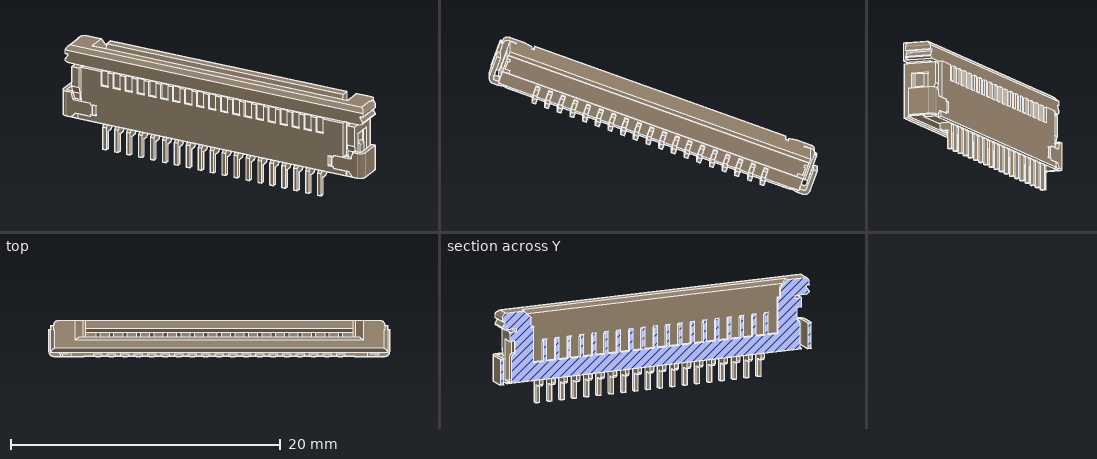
import cadquery as cq


length = 25.3
depth = 2.7
height = 7.6
front = -depth / 2
back = depth / 2

contact_count = 19
contact_row_length = 18.01
contact_pitch = contact_row_length / (contact_count - 1)
contact_width = 0.3
contact_places = [i * contact_pitch - contact_row_length / 2 for i in range(contact_count)]

housing_bottom = 1.97
shoulder_top = 6.07
housing_half = 11.87
shoulder_front = -1.16
core_half = 11.35
core_front = -0.53
wall_half = 10.98
wall_back = -0.7
clip_stand_off = 0.03
wall_front = front + clip_stand_off
wall_bevel_height = 0.1
wall_bevel_depth = 0.15
groove_width = 0.25
groove_back = -0.75
foot_back = 1.04
foot_front = -0.25
foot_height = 0.15
undercut_bottom = 3.97
undercut_top = 4.5
undercut_depth = 0.18

pocket_width = 0.6
pocket_depth = 0.18
pocket_bottom = 5.1

window_front = -0.58
window_back = 0.75
window_bottom = 2.18
window_top = 5.35
window_depth = 0.25
window_ramp_front = -0.03
window_ramp_back = 0.58
window_ramp_depth = 0.25
latch_top = 4.38
latch_radius = 0.25
latch_inset = 0.13
latch_reach = 0.5

cover_bottom = 6.27
cover_front = -1.04
cover_half = 12.5
cover_back_half = 12.3
cover_corner_radius = 0.38
flange_back = 0.95
cover_bevel = 0.33
cover_top_half = 12.22
cover_crown_half = 12.4
cover_crown_height = 7.46
rib_notch_half = 12.27
rib_upper_bottom = 6.95
rib_notch_top = 6.83
rib_lower_top = 6.5
rib_lower_bottom = 6.43

mouth_half_top = 10.7
mouth_half = 10.12
mouth_side_drop = 0.58
mouth_front_top = -0.1
mouth_front = 0.1
mouth_front_drop = 0.3
slot_bottom = 3.55
tongue_half = 9.92
tongue_front_top = 0.73
tongue_front = 0.45
tongue_bevel_drop = 0.89
contact_tip_front = 5.05
contact_tip_back = 5.45

clip_bottom = 2.07
clip_top = 4.07
clip_back = 0.65
clip_thickness = 0.3
clip_bend_radius = 0.43
clip_neck_half = 11.8
arm_inner = 10.2
arm_bottom = 2.45
arm_top = 3.52
arm_root_bottom = 11.45
arm_root_top = 11.65
tip_hole_inner = 9.72
tip_hole_outer = 10.05
tip_hole_bottom = 2.58
tip_hole_top = 3.4
tip_hole_depth = 0.3

tail_front = front
tail_thickness = 0.33
tail_back = -0.4
tail_shelf = 1.4
tail_bevel = 0.18


def block(x, y, z):
    """Box between the given (low, high) pairs."""
    size = (x[1] - x[0], y[1] - y[0], z[1] - z[0])
    return cq.Workplane("XY").box(*size, centered=False).translate((x[0], y[0], z[0]))


def wide_block(half, y, z):
    return block((-half, half), y, z)


def prism_along_x(points, x_low, x_high):
    """Extrude a (y, z) outline from x_low to x_high."""
    return cq.Workplane("YZ", origin=(x_low, 0, 0)).polyline(points).close().extrude(x_high - x_low)


def prism_along_y(points, y_low, y_high):
    """Extrude an (x, z) outline from y_low to y_high."""
    return cq.Workplane("XZ", origin=(0, y_high, 0)).polyline(points).close().extrude(y_high - y_low)


def both_ends(shape):
    """The shape together with its mirror image at the other end."""
    return shape.union(shape.mirror("YZ"))


def mirrored_outline(points):
    """Close a right-hand half outline with its left-hand mirror image."""
    return points + [(-x, z) for x, z in reversed(points)]


def make_front_wall(half, top):
    """Front wall with a bevelled lower edge."""
    outline = [
        (wall_back, top),
        (wall_front, top),
        (wall_front, housing_bottom + wall_bevel_height),
        (wall_front + wall_bevel_depth, housing_bottom),
        (wall_back, housing_bottom),
    ]
    return prism_along_x(outline, -half, half)


def make_housing():
    body = wide_block(housing_half, (shoulder_front, back), (housing_bottom, shoulder_top))
    core = wide_block(core_half, (core_front, back), (shoulder_top, cover_bottom))
    wall = make_front_wall(wall_half, cover_bottom)
    wall_foot = make_front_wall(wall_half + groove_width, arm_bottom)
    groove = block(
        (-wall_half - groove_width, -wall_half), (shoulder_front, groove_back), (arm_top, shoulder_top)
    )
    undercut_outline = [
        (shoulder_front, undercut_top),
        (shoulder_front + undercut_depth, undercut_bottom),
        (shoulder_front + undercut_depth, arm_bottom),
        (shoulder_front, arm_bottom),
    ]
    undercut = prism_along_x(undercut_outline, -housing_half, -wall_half)
    foot_gap = wide_block(
        housing_half, (foot_front, foot_back), (housing_bottom, housing_bottom + foot_height)
    )
    housing = body.cut(both_ends(groove)).cut(both_ends(undercut))
    housing = housing.union(core).union(wall).union(wall_foot)
    return housing.cut(foot_gap).cut(both_ends(make_side_window())).union(both_ends(make_latch()))


def make_side_window():
    floor = -housing_half + window_depth
    outline = [
        (-housing_half, window_front),
        (floor + window_ramp_depth, window_front),
        (floor + window_ramp_depth, window_ramp_front),
        (floor, window_ramp_back),
        (floor, window_back),
        (-housing_half, window_back),
    ]
    window = cq.Workplane("XY", origin=(0, 0, window_bottom)).polyline(outline).close()
    return window.extrude(window_top - window_bottom)


def make_latch():
    """Round-topped catch inside the left side window."""
    catch = block(
        (-housing_half + latch_inset, -housing_half + latch_inset + latch_reach),
        (window_ramp_front, window_ramp_back),
        (window_bottom, latch_top),
    )
    return catch.edges("<X and >Z").fillet(latch_radius)


def make_front_pockets():
    pockets = cq.Workplane("XY")
    for x in contact_places:
        pockets = pockets.union(
            block(
                (x - pocket_width / 2, x + pocket_width / 2),
                (wall_front, wall_front + pocket_depth),
                (pocket_bottom, cover_bottom),
            )
        )
    return pockets


def make_cover():
    side_outline = mirrored_outline([
        (rib_notch_half, cover_bottom),
        (cover_half, rib_lower_bottom),
        (cover_half, rib_lower_top),
        (rib_notch_half, rib_notch_top),
        (rib_notch_half, rib_upper_bottom),
        (cover_half, rib_upper_bottom),
        (cover_half, height - cover_bevel),
    ])
    ribbed = prism_along_y(side_outline, cover_front, flange_back)
    crown = cq.Workplane("XZ", origin=(0, flange_back, 0)).moveTo(-cover_half, height - cover_bevel)
    crown = crown.threePointArc((-cover_crown_half, cover_crown_height), (-cover_top_half, height))
    crown = crown.lineTo(cover_top_half, height)
    crown = crown.threePointArc((cover_crown_half, cover_crown_height), (cover_half, height - cover_bevel))
    crown = crown.close().extrude(flange_back - cover_front)
    bevel_outline = [
        (cover_front, height - cover_bevel),
        (cover_front, height),
        (cover_front + cover_bevel, height),
    ]
    crown = crown.cut(prism_along_x(bevel_outline, -cover_half, cover_half))
    rear = wide_block(cover_back_half, (flange_back - cover_bevel, back), (cover_bottom, height))
    rear = rear.edges("|Z and >Y").fillet(cover_corner_radius)
    return ribbed.union(crown).union(rear).cut(make_mouth())


def make_mouth():
    """Cable mouth, open to the back, flared at its ends and along its front."""
    across = prism_along_y(
        mirrored_outline([
            (mouth_half, cover_bottom),
            (mouth_half, height - mouth_side_drop),
            (mouth_half_top, height),
        ]),
        mouth_front_top,
        back,
    )
    along = prism_along_x(
        [
            (back, cover_bottom),
            (mouth_front, cover_bottom),
            (mouth_front, height - mouth_front_drop),
            (mouth_front_top, height),
            (back, height),
        ],
        -mouth_half_top,
        mouth_half_top,
    )
    return across.intersect(along)


def make_tongue():
    outline = [
        (back, cover_bottom),
        (back, height),
        (tongue_front_top, height),
        (tongue_front, height - tongue_bevel_drop),
        (tongue_front, cover_bottom),
    ]
    return prism_along_x(outline, -tongue_half, tongue_half)


def make_contacts():
    """Sloped contact tips that stand in the cable slot."""
    outline = [
        (mouth_front, slot_bottom),
        (mouth_front, contact_tip_front),
        (tongue_front, contact_tip_back),
        (tongue_front, slot_bottom),
    ]
    contacts = cq.Workplane("XY")
    for x in contact_places:
        contacts = contacts.union(prism_along_x(outline, x - contact_width / 2, x + contact_width / 2))
    return contacts


def make_tails():
    outline = [
        (tail_front, 0),
        (tail_front, housing_bottom - tail_bevel),
        (tail_front + tail_bevel, housing_bottom),
        (tail_back, housing_bottom),
        (tail_back, tail_shelf + tail_bevel),
        (tail_back - tail_bevel, tail_shelf),
        (tail_front + tail_thickness, tail_shelf),
        (tail_front + tail_thickness, 0),
    ]
    tails = cq.Workplane("XY")
    for x in contact_places:
        tails = tails.union(prism_along_x(outline, x - contact_width / 2, x + contact_width / 2))
    return tails


def make_clip():
    """Left clip: a bent strip whose arm, with a narrow tip, lies on the housing front."""
    outer = -length / 2
    strip = block((outer, -tip_hole_outer), (front, clip_back), (clip_bottom, clip_top))
    strip = strip.edges("|Z and <X and <Y").fillet(clip_bend_radius)
    inside = block(
        (outer + clip_thickness, -tip_hole_outer),
        (front + clip_thickness, clip_back),
        (clip_bottom, clip_top),
    )
    inside = inside.edges("|Z and <X and <Y").fillet(clip_bend_radius - clip_thickness)
    arm_outline = [
        (outer, clip_bottom),
        (-clip_neck_half, clip_bottom),
        (-arm_root_bottom, arm_bottom),
        (-arm_inner, arm_bottom),
        (-arm_inner, tip_hole_bottom),
        (-tip_hole_outer, tip_hole_bottom),
        (-tip_hole_outer, tip_hole_top),
        (-arm_inner, tip_hole_top),
        (-arm_inner, arm_top),
        (-arm_root_top, arm_top),
        (-clip_neck_half, undercut_bottom),
        (-clip_neck_half, clip_top),
        (outer, clip_top),
    ]
    return strip.cut(inside).intersect(prism_along_y(arm_outline, front, clip_back))


def make_tip_hole():
    """Wedge-shaped hole beside the tip of the left clip arm, deepest at its inner end."""
    outline = [
        (-tip_hole_outer, wall_front),
        (-tip_hole_inner, wall_front),
        (-tip_hole_inner, wall_front + tip_hole_depth),
    ]
    hole = cq.Workplane("XY", origin=(0, 0, tip_hole_bottom)).polyline(outline).close()
    return hole.extrude(tip_hole_top - tip_hole_bottom)


cable_slot = wide_block(tongue_half, (mouth_front, tongue_front), (slot_bottom, cover_bottom))

result = make_housing().union(make_cover()).union(make_tongue())
result = result.cut(cable_slot).union(make_contacts())
result = result.cut(make_front_pockets()).cut(both_ends(make_tip_hole()))
result = result.union(both_ends(make_clip())).union(make_tails())